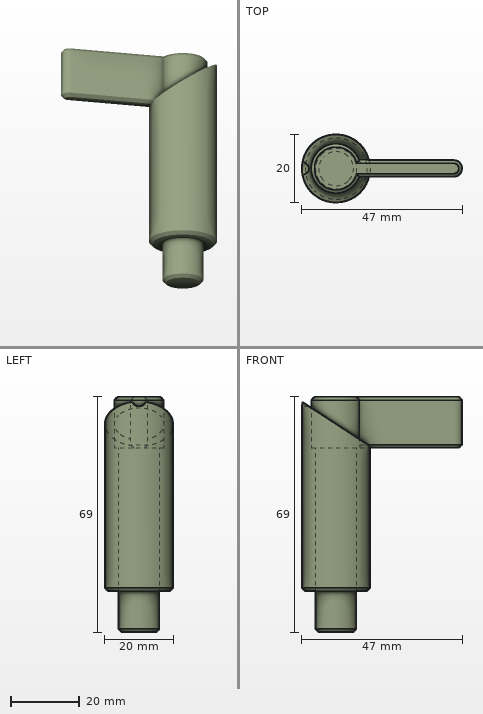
import cadquery as cq
import math

total_height = 69.0
bevel = 1.0

sleeve_diameter = 20.0
sleeve_bottom = 12.0
sleeve_peak = 67.55
slope_angle = 33.0

pin_diameter = 12.0
head_diameter = 14.5
lever_reach = 37.0
lever_thickness = 5.0
lever_height = 15.0

detent_radius = 2.15
detent_depth = 1.4

sleeve_radius = sleeve_diameter / 2
lever_bottom = total_height - lever_height
sleeve_low_side = sleeve_peak - sleeve_diameter * math.tan(math.radians(slope_angle))


def make_lever():
    """Flat lever with a round tip, bevelled along its top and bottom edges."""
    lever_radius = lever_thickness / 2
    tip_center = lever_reach - lever_radius
    return (
        cq.Workplane("XY", origin=(0, 0, lever_bottom))
        .moveTo(0, -lever_radius)
        .lineTo(tip_center, -lever_radius)
        .threePointArc((lever_reach, 0), (tip_center, lever_radius))
        .lineTo(0, lever_radius)
        .close()
        .extrude(lever_height)
        .faces("<Z or >Z").edges("not <X").chamfer(bevel)
    )


def make_handle():
    """Pin running up through the sleeve to a wider round head with its lever."""
    pin = (
        cq.Workplane("XY")
        .circle(pin_diameter / 2)
        .extrude(lever_bottom)
        .faces("<Z").chamfer(bevel)
    )
    head = (
        cq.Workplane("XY", origin=(0, 0, lever_bottom))
        .circle(head_diameter / 2)
        .extrude(lever_height)
        .faces(">Z").chamfer(bevel)
    )
    return pin.union(head).union(make_lever())


def make_sleeve_blank():
    """Cylinder bevelled at the bottom, with its top sloping down towards +X."""
    blank = (
        cq.Workplane("XY", origin=(0, 0, sleeve_bottom))
        .circle(sleeve_radius)
        .extrude(total_height - sleeve_bottom)
        .faces("<Z").chamfer(bevel)
    )
    above_slope = (
        cq.Workplane("XZ")
        .moveTo(-sleeve_radius, sleeve_peak)
        .lineTo(sleeve_radius, sleeve_low_side)
        .lineTo(sleeve_radius, total_height)
        .lineTo(-sleeve_radius, total_height)
        .close()
        .extrude(sleeve_radius, both=True)
    )
    return blank.cut(above_slope)


def make_detent():
    """Horizontal round groove across the high side of the sloping top."""
    return (
        cq.Workplane("YZ", origin=(-sleeve_radius, 0, sleeve_peak - detent_depth + detent_radius))
        .circle(detent_radius)
        .extrude(sleeve_radius)
    )


handle = make_handle()

sleeve = make_sleeve_blank().cut(make_detent()).cut(handle)

result = cq.Compound.makeCompound([sleeve.solids().val(), handle.solids().val()])